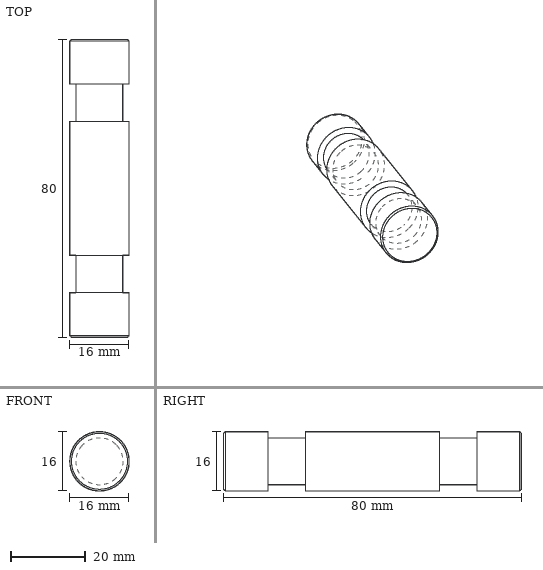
import cadquery as cq

length = 80.0
pin_diameter = 16.0
neck_diameter = 12.6
middle_length = 36.0
groove_width = 10.0
end_chamfer = 0.5

half_length = length / 2
groove_inner = middle_length / 2
groove_outer = groove_inner + groove_width

pin_radius = pin_diameter / 2
neck_radius = neck_diameter / 2

section = [
    (0, -half_length),
    (-pin_radius + end_chamfer, -half_length),
    (-pin_radius, -half_length + end_chamfer),
    (-pin_radius, -groove_outer),
    (-neck_radius, -groove_outer),
    (-neck_radius, -groove_inner),
    (-pin_radius, -groove_inner),
    (-pin_radius, groove_inner),
    (-neck_radius, groove_inner),
    (-neck_radius, groove_outer),
    (-pin_radius, groove_outer),
    (-pin_radius, half_length - end_chamfer),
    (-pin_radius + end_chamfer, half_length),
    (0, half_length),
]

result = cq.Workplane("XY").polyline(section).close().revolve(360, (0, 0), (0, 1))